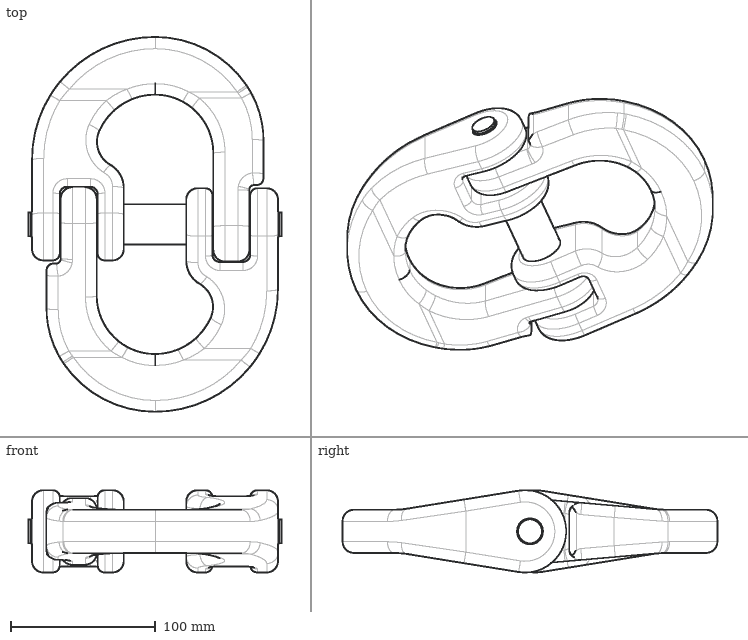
import cadquery as cq
import math


OVERALL_LENGTH = 259.0
END = OVERALL_LENGTH / 2

BOW_THICKNESS = 30.0
KNEE_Y = -89.5
KNEE_RADIUS = 50.0
FORK_TIP_RADIUS = 28.5
FORK_TIP_Y = -3.5
TONGUE_TIP_RADIUS = 23.0
TONGUE_TIP_Y = 2.75
TIP_CLEARANCE = 10.0

FORK_OUTER_X = 85.0
FORK_INNER_X = 21.5
ARM_OUTER_X = 75.0
ARM_BEND_Y = -58.0
ARM_BOW_RADIUS = 76.5
TONGUE_OUTER_X = 65.2
TONGUE_INNER_X = 40.2
SHOULDER_Y = -27.0
SHOULDER_CORNER_RADIUS = 5.0
SHOULDER_ROOT_RADIUS = 3.0

OPENING_Y = KNEE_Y
OPENING_FORK_RADIUS = 42.0
BULGE_X = 21.75
BULGE_Y = -57.0
NECK_Y = -25.0

SLOT_WIDTH = 26.0
SLOT_CENTER_X = (TONGUE_OUTER_X + TONGUE_INNER_X) / 2
SLOT_END_Y = -25.9
SLOT_CORNER_RADIUS = 5.0

RIM_FILLET = 8.0
SLOT_FILLET = 5.0

TOLERANCE = 1e-3

PIN_LENGTH = 175.0
PIN_DIAMETER = 18.0
PIN_END_DIAMETER = 16.5
PIN_SHANK_END_X = FORK_OUTER_X + (PIN_DIAMETER - PIN_END_DIAMETER) / 2
SLEEVE_DIAMETER = 28.0


def leg_profile(tip_y, tip_radius):
    """Side profile (YZ) of a leg: flat bow, knee, then a taper tangent to the round tip."""
    half_bow = BOW_THICKNESS / 2
    dy = tip_y - KNEE_Y
    distance = math.hypot(dy, half_bow)
    taper = math.asin(tip_radius / distance) - math.atan2(half_bow, dy)
    tangent_y = tip_y - tip_radius * math.sin(taper)
    tangent_z = tip_radius * math.cos(taper)
    setback = KNEE_RADIUS * math.tan(taper / 2)
    flat_y = KNEE_Y - setback
    knee_end_y = KNEE_Y + setback * math.cos(taper)
    knee_end_z = half_bow + setback * math.sin(taper)
    knee_mid_y = flat_y + KNEE_RADIUS * math.sin(taper / 2)
    knee_mid_z = half_bow + KNEE_RADIUS * (1 - math.cos(taper / 2))
    return (
        cq.Workplane("YZ")
        .moveTo(-END, -half_bow)
        .lineTo(flat_y, -half_bow)
        .threePointArc((knee_mid_y, -knee_mid_z), (knee_end_y, -knee_end_z))
        .lineTo(tangent_y, -tangent_z)
        .threePointArc((tip_y + tip_radius, 0), (tangent_y, tangent_z))
        .lineTo(knee_end_y, knee_end_z)
        .threePointArc((knee_mid_y, knee_mid_z), (flat_y, half_bow))
        .lineTo(-END, half_bow)
        .close()
        .extrude(FORK_OUTER_X, both=True)
    )


def arc_point(center_x, center_y, radius, angle):
    """Point on a circle at an angle in radians."""
    return center_x + radius * math.cos(angle), center_y + radius * math.sin(angle)


def extrude_outline(outline):
    """Turn a closed XY outline into a prism taller than any leg."""
    return outline.close().extrude(2 * FORK_TIP_RADIUS, both=True)


def round_rims(leg):
    """Round the upper and lower rims of a leg, with a smaller radius around the slot."""
    slot_rims = []
    outer_rims = []
    for edge in leg.edges("not |Z").vals():
        box = edge.BoundingBox()
        on_joint = max(abs(box.xmin), abs(box.xmax)) < TOLERANCE
        across_leg = box.ylen < TOLERANCE and abs(box.ymin - SHOULDER_Y) > TOLERANCE
        beside_slot = abs(edge.Center().x - SLOT_CENTER_X) < SLOT_WIDTH / 2 + TOLERANCE
        in_slot = beside_slot and box.ymin > SLOT_END_Y - TOLERANCE
        if in_slot and not across_leg:
            slot_rims.append(edge)
        elif not (on_joint or across_leg):
            outer_rims.append(edge)
    solid = leg.val().fillet(RIM_FILLET, outer_rims)
    if slot_rims:
        solid = solid.fillet(SLOT_FILLET, slot_rims)
    return cq.Workplane(obj=solid)


def fork_leg():
    """Right half of a half link: half the bow and the forked leg."""
    tip_y = FORK_TIP_Y + FORK_TIP_RADIUS + TIP_CLEARANCE
    bow_center_y = FORK_OUTER_X - END
    bow_mid = arc_point(0, bow_center_y, FORK_OUTER_X, -math.pi / 4)

    opening_center_y = OPENING_Y + OPENING_FORK_RADIUS
    bulge_angle = math.atan2(BULGE_Y - opening_center_y, BULGE_X)
    bulge_radius = OPENING_FORK_RADIUS - math.hypot(BULGE_X, BULGE_Y - opening_center_y)
    rise = NECK_Y - BULGE_Y
    inset = BULGE_X - FORK_INNER_X
    neck_radius = (rise**2 + inset**2 - bulge_radius**2) / (2 * (bulge_radius + inset))
    neck_x = FORK_INNER_X + neck_radius
    neck_angle = math.atan2(rise, neck_x - BULGE_X)
    bulge_mid = arc_point(BULGE_X, BULGE_Y, bulge_radius, (bulge_angle + neck_angle) / 2)
    bulge_end = arc_point(BULGE_X, BULGE_Y, bulge_radius, neck_angle)
    neck_mid = arc_point(neck_x, NECK_Y, neck_radius, math.pi + neck_angle / 2)
    opening_mid = arc_point(0, opening_center_y, OPENING_FORK_RADIUS, (bulge_angle - math.pi / 2) / 2)
    opening_end = arc_point(0, opening_center_y, OPENING_FORK_RADIUS, bulge_angle)

    outline = (
        cq.Workplane("XY")
        .moveTo(0, -END)
        .threePointArc(bow_mid, (FORK_OUTER_X, bow_center_y))
        .lineTo(FORK_OUTER_X, tip_y)
        .lineTo(FORK_INNER_X, tip_y)
        .lineTo(FORK_INNER_X, NECK_Y)
        .threePointArc(neck_mid, bulge_end)
        .threePointArc(bulge_mid, opening_end)
        .threePointArc(opening_mid, (0, OPENING_Y))
    )
    slot_length = tip_y - SLOT_END_Y
    slot = (
        cq.Workplane("XY")
        .center(SLOT_CENTER_X, SLOT_END_Y + slot_length / 2)
        .rect(SLOT_WIDTH, slot_length)
        .extrude(2 * FORK_TIP_RADIUS, both=True)
        .edges("|Z and <Y")
        .fillet(SLOT_CORNER_RADIUS)
    )
    leg = extrude_outline(outline).cut(slot).intersect(leg_profile(FORK_TIP_Y, FORK_TIP_RADIUS))
    return round_rims(leg)


def shoulder_corner():
    """Material to trim off so that the outer corner of the shoulder is round."""
    start_x = SHOULDER_CORNER_RADIUS - ARM_OUTER_X
    start_y = SHOULDER_Y - SHOULDER_CORNER_RADIUS
    round_mid = arc_point(start_x, start_y, SHOULDER_CORNER_RADIUS, 3 * math.pi / 4)
    outline = (
        cq.Workplane("XY")
        .moveTo(start_x, SHOULDER_Y)
        .threePointArc(round_mid, (-ARM_OUTER_X, start_y))
        .lineTo(-ARM_OUTER_X, SHOULDER_Y)
    )
    return extrude_outline(outline)


def tongue_leg():
    """Left half of a half link: half the bow and the single tongue, set in from the arm."""
    tip_y = TONGUE_TIP_Y + TONGUE_TIP_RADIUS + TIP_CLEARANCE
    bow_center_y = ARM_BOW_RADIUS - END
    bow_excess = ARM_BOW_RADIUS - ARM_OUTER_X
    center_gap = bow_center_y - ARM_BEND_Y
    bend_radius = (ARM_BOW_RADIUS + ARM_OUTER_X - center_gap**2 / bow_excess) / 2
    bend_x = bend_radius - ARM_OUTER_X
    bend_angle = math.atan2(center_gap, -bend_x)
    bow_mid_angle = math.pi + (bend_angle + math.pi / 2) / 2
    bow_mid = arc_point(0, bow_center_y, ARM_BOW_RADIUS, bow_mid_angle)
    bow_end = arc_point(0, bow_center_y, ARM_BOW_RADIUS, math.pi + bend_angle)
    bend_mid = arc_point(bend_x, ARM_BEND_Y, bend_radius, math.pi + bend_angle / 2)

    opening_center_y = OPENING_Y + TONGUE_INNER_X
    opening_mid = arc_point(0, opening_center_y, TONGUE_INNER_X, -3 * math.pi / 4)
    outline = (
        cq.Workplane("XY")
        .moveTo(0, -END)
        .threePointArc(bow_mid, bow_end)
        .threePointArc(bend_mid, (-ARM_OUTER_X, ARM_BEND_Y))
        .lineTo(-ARM_OUTER_X, SHOULDER_Y)
        .lineTo(-TONGUE_OUTER_X, SHOULDER_Y)
        .lineTo(-TONGUE_OUTER_X, tip_y)
        .lineTo(-TONGUE_INNER_X, tip_y)
        .lineTo(-TONGUE_INNER_X, opening_center_y)
        .threePointArc(opening_mid, (0, OPENING_Y))
    )
    blank = extrude_outline(outline)
    root = cq.selectors.NearestToPointSelector((-TONGUE_OUTER_X, SHOULDER_Y, 0))
    blank = blank.edges(root).fillet(SHOULDER_ROOT_RADIUS)
    leg = blank.intersect(leg_profile(TONGUE_TIP_Y, TONGUE_TIP_RADIUS))
    return round_rims(leg).cut(shoulder_corner())


def half_link():
    """Fork leg and tongue leg joined at the middle of the bow, bored for the pin."""
    bore = cq.Workplane("YZ").circle(PIN_DIAMETER / 2).extrude(PIN_LENGTH / 2, both=True)
    return fork_leg().union(tongue_leg()).cut(bore)


def pin():
    """Pin reaching just past the lug faces, stepped down by a chamfer to a thinner stub at each end."""
    body = (
        cq.Workplane("YZ", origin=(-PIN_SHANK_END_X, 0, 0))
        .circle(PIN_DIAMETER / 2)
        .extrude(2 * PIN_SHANK_END_X)
        .faces("<X or >X")
        .chamfer((PIN_DIAMETER - PIN_END_DIAMETER) / 2)
    )
    stubs = (
        cq.Workplane("YZ", origin=(-PIN_LENGTH / 2, 0, 0))
        .circle(PIN_END_DIAMETER / 2)
        .extrude(PIN_LENGTH)
    )
    return body.union(stubs)


def sleeve():
    """Bush around the pin, filling the gap between the two inner lugs."""
    return (
        cq.Workplane("YZ", origin=(-FORK_INNER_X, 0, 0))
        .circle(SLEEVE_DIAMETER / 2)
        .circle(PIN_DIAMETER / 2)
        .extrude(2 * FORK_INNER_X)
    )


lower_half = half_link()
upper_half = lower_half.rotate((0, 0, 0), (0, 0, 1), 180)
result = cq.Compound.makeCompound([lower_half.val(), upper_half.val(), pin().val(), sleeve().val()])